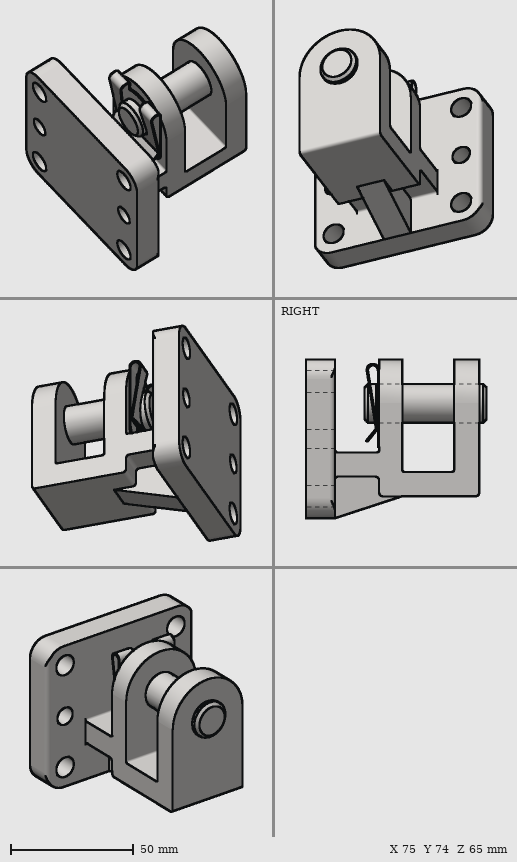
import cadquery as cq
import math

PLATE_WIDTH = 75.0
PLATE_HEIGHT = 65.0
PLATE_THICKNESS = 12.0
PLATE_CORNER_R = 8.0
PLATE_SIDE_FILLET_R = 2.0
HOLE_SPACING_X = 57.0
HOLE_SPACING_Z = 47.0
CORNER_HOLE_DIA = 9.0
SIDE_HOLE_DIA = 7.8

FORK_WIDTH = 36.0
LUG_R = FORK_WIDTH / 2
FRONT_LUG_Y = 30.0
FRONT_LUG_THICKNESS = 9.5
SLOT_WIDTH = 21.15
BACK_LUG_THICKNESS = 10.35
SLOT_FLOOR_Z = 19.0
FORK_BOTTOM_Z = 9.0
WEB_TOP_Z = 27.0
WEB_BOTTOM_Z = 17.0
INNER_FILLET_R = 1.0
OUTER_FILLET_R = 1.5
GUSSET_WIDTH = 12.0
GUSSET_TIP_Y = 39.5

SLOT_FRONT_Y = FRONT_LUG_Y + FRONT_LUG_THICKNESS
SLOT_BACK_Y = SLOT_FRONT_Y + SLOT_WIDTH
FORK_BACK_Y = SLOT_BACK_Y + BACK_LUG_THICKNESS

PIN_DIA = 16.0
PIN_LENGTH = 50.0
PIN_BACK_Y = 74.0
PIN_FRONT_Y = PIN_BACK_Y - PIN_LENGTH
PIN_AXIS_Z = PLATE_HEIGHT - LUG_R
PIN_CHAMFER = 1.5
GROOVE_DIA = 12.0
GROOVE_WIDTH = 1.2

CLIP_WIDTH = 28.3
CLIP_THICKNESS = 0.56
CLIP_BOTTOM_Z = 29.1
CLIP_TOP_Z = 63.2
CLIP_CORNER_R = 5.0
FOLD_R = 2.55
LEAF_ANGLE = 9.0
KINK_Z = 36.6
LIP_ANGLE = 39.0
LIP_LENGTH = 6.3
LIP_CORNER_R = 4.5
EYE_R = 8.3
EYE_TAPER = 8.0
NOTCH_FLOOR_R = 12.2
NOTCH_FILLET_R = 0.75


def along_y(x, z, radius, start, end):
    """Cylinder about a line parallel to Y."""
    return cq.Workplane(cq.Solid.makeCylinder(
        radius, end - start, cq.Vector(x, start, z), cq.Vector(0, 1, 0)))


def side_prism(points, width):
    """Prism of a closed Y-Z outline, centred on X = 0."""
    return cq.Workplane("YZ").polyline(points).close().extrude(width / 2, both=True)


def make_plate():
    plate = (
        cq.Workplane("XY")
        .box(PLATE_WIDTH, PLATE_THICKNESS, PLATE_HEIGHT, centered=(True, False, False))
        .faces(">Y").edges("|Z").fillet(PLATE_SIDE_FILLET_R)
    )
    rounded_outline = (
        cq.Workplane("XY")
        .box(PLATE_WIDTH, PLATE_THICKNESS, PLATE_HEIGHT, centered=(True, False, False))
        .edges("|Y").fillet(PLATE_CORNER_R)
    )
    return plate.intersect(rounded_outline)


def drill_plate(body):
    mid_z = PLATE_HEIGHT / 2
    for row, diameter in ((-1, CORNER_HOLE_DIA), (0, SIDE_HOLE_DIA), (1, CORNER_HOLE_DIA)):
        for side in (-1, 1):
            x = side * HOLE_SPACING_X / 2
            z = mid_z + row * HOLE_SPACING_Z / 2
            body = body.cut(along_y(x, z, diameter / 2, 0, PLATE_THICKNESS))
    return body


def make_fork():
    inner_corners = [
        (PLATE_THICKNESS, WEB_TOP_Z),
        (FRONT_LUG_Y, WEB_TOP_Z),
        (SLOT_FRONT_Y, SLOT_FLOOR_Z),
        (SLOT_BACK_Y, SLOT_FLOOR_Z),
        (PLATE_THICKNESS, WEB_BOTTOM_Z),
    ]
    outer_corners = [
        (FORK_BACK_Y, FORK_BOTTOM_Z),
        (FRONT_LUG_Y, FORK_BOTTOM_Z),
        (FRONT_LUG_Y, WEB_BOTTOM_Z),
    ]
    root_top_z = WEB_TOP_Z + LUG_R / 2
    outline = [
        (0, root_top_z),
        (PLATE_THICKNESS, root_top_z),
        (PLATE_THICKNESS, WEB_TOP_Z),
        (FRONT_LUG_Y, WEB_TOP_Z),
        (FRONT_LUG_Y, PLATE_HEIGHT),
        (SLOT_FRONT_Y, PLATE_HEIGHT),
        (SLOT_FRONT_Y, SLOT_FLOOR_Z),
        (SLOT_BACK_Y, SLOT_FLOOR_Z),
        (SLOT_BACK_Y, PLATE_HEIGHT),
        (FORK_BACK_Y, PLATE_HEIGHT),
        (FORK_BACK_Y, FORK_BOTTOM_Z),
        (FRONT_LUG_Y, FORK_BOTTOM_Z),
        (FRONT_LUG_Y, WEB_BOTTOM_Z),
        (PLATE_THICKNESS, WEB_BOTTOM_Z),
        (PLATE_THICKNESS, FORK_BOTTOM_Z),
        (0, FORK_BOTTOM_Z),
    ]
    fork = side_prism(outline, FORK_WIDTH)
    for corners, radius in ((inner_corners, INNER_FILLET_R), (outer_corners, OUTER_FILLET_R)):
        for y, z in corners:
            fork = fork.edges(cq.selectors.NearestToPointSelector((0, y, z))).fillet(radius)
    round_top = along_y(0, PIN_AXIS_Z, LUG_R, 0, FORK_BACK_Y)
    below_axis = cq.Workplane("XY").box(
        FORK_WIDTH, FORK_BACK_Y, PIN_AXIS_Z, centered=(True, False, False))
    return fork.intersect(round_top.union(below_axis))


def make_gusset():
    outline = [
        (0, 0),
        (PLATE_THICKNESS, 0),
        (GUSSET_TIP_Y, FORK_BOTTOM_Z),
        (GUSSET_TIP_Y, SLOT_FLOOR_Z),
        (0, SLOT_FLOOR_Z),
    ]
    return side_prism(outline, GUSSET_WIDTH)


def make_bracket():
    bracket = make_plate().union(make_fork()).union(make_gusset())
    bracket = drill_plate(bracket)
    return bracket.cut(along_y(0, PIN_AXIS_Z, PIN_DIA / 2, FRONT_LUG_Y, FORK_BACK_Y))


def make_pin():
    pin = along_y(0, PIN_AXIS_Z, PIN_DIA / 2, PIN_FRONT_Y, PIN_BACK_Y)
    pin = pin.edges().chamfer(PIN_CHAMFER)
    groove_front_y = FRONT_LUG_Y - GROOVE_WIDTH
    groove = along_y(0, PIN_AXIS_Z, PIN_DIA / 2, groove_front_y, FRONT_LUG_Y).cut(
        along_y(0, PIN_AXIS_Z, GROOVE_DIA / 2, groove_front_y, FRONT_LUG_Y))
    return pin.cut(groove)


def make_folded_strip():
    """Full-width strip bent from the back leaf over the fold to the front leaf and lip."""
    leaf = math.radians(LEAF_ANGLE)
    lip = math.radians(LIP_ANGLE)
    fold_y = FRONT_LUG_Y - FOLD_R
    fold_z = CLIP_TOP_Z - FOLD_R
    inner_r = FOLD_R - CLIP_THICKNESS

    def on_fold(radius, angle):
        return (fold_y - radius * math.cos(angle), fold_z + radius * math.sin(angle))

    leaf_outer = on_fold(FOLD_R, -leaf)
    kink_outer = (leaf_outer[0] + (leaf_outer[1] - KINK_Z) * math.tan(leaf), KINK_Z)
    half_turn = (leaf + lip) / 2
    mitre = CLIP_THICKNESS / math.cos(half_turn)
    mitre_angle = half_turn - leaf
    kink_inner = (kink_outer[0] + mitre * math.cos(mitre_angle),
                  kink_outer[1] - mitre * math.sin(mitre_angle))
    tip_outer = (kink_outer[0] - LIP_LENGTH * math.sin(lip),
                 kink_outer[1] - LIP_LENGTH * math.cos(lip))
    tip_inner = (tip_outer[0] + CLIP_THICKNESS * math.cos(lip),
                 tip_outer[1] - CLIP_THICKNESS * math.sin(lip))
    return (
        cq.Workplane("YZ")
        .moveTo(FRONT_LUG_Y, CLIP_BOTTOM_Z)
        .lineTo(FRONT_LUG_Y, fold_z)
        .threePointArc(on_fold(FOLD_R, math.pi / 2), leaf_outer)
        .lineTo(*kink_outer)
        .lineTo(*tip_outer)
        .lineTo(*tip_inner)
        .lineTo(*kink_inner)
        .lineTo(*on_fold(inner_r, -leaf))
        .threePointArc(on_fold(inner_r, math.pi / 2), (FRONT_LUG_Y - CLIP_THICKNESS, fold_z))
        .lineTo(FRONT_LUG_Y - CLIP_THICKNESS, CLIP_BOTTOM_Z)
        .close()
        .extrude(CLIP_WIDTH / 2, both=True)
    )


def round_leaf_ends(strip):
    """Round the lower corners of the back leaf and of the lip."""
    lip = math.radians(LIP_ANGLE)
    lip_normal = cq.Vector(0, -math.cos(lip), math.sin(lip))
    strip = strip.faces("<Z").edges("|Y").fillet(CLIP_CORNER_R)
    return strip.edges(cq.selectors.ParallelDirSelector(lip_normal)).edges("<Z").fillet(LIP_CORNER_R)


def make_eye_cutter():
    """Round eye about the pin axis, opening upward between two converging tangents."""
    taper = math.radians(EYE_TAPER)
    tangent_x = EYE_R * math.cos(taper)
    tangent_z = PIN_AXIS_Z + EYE_R * math.sin(taper)
    top_x = tangent_x - (CLIP_TOP_Z - tangent_z) * math.tan(taper)
    return (
        cq.Workplane("XZ")
        .moveTo(-top_x, CLIP_TOP_Z)
        .lineTo(-tangent_x, tangent_z)
        .threePointArc((0, PIN_AXIS_Z - EYE_R), (tangent_x, tangent_z))
        .lineTo(top_x, CLIP_TOP_Z)
        .close()
        .extrude(-FRONT_LUG_Y)
    )


def make_clip():
    clip = round_leaf_ends(make_folded_strip())
    eye = make_eye_cutter()
    back_leaf_y = FRONT_LUG_Y - CLIP_THICKNESS
    front_space = cq.Workplane("XY").box(
        CLIP_WIDTH, back_leaf_y, PLATE_HEIGHT, centered=(True, False, False))
    clip = clip.cut(eye.intersect(front_space))

    arch = along_y(0, PIN_AXIS_Z, NOTCH_FLOOR_R, 0, FRONT_LUG_Y)
    notch = eye.cut(arch).edges("|Y and (not >Z)").fillet(NOTCH_FILLET_R)
    clip = clip.cut(notch)
    clip = clip.cut(along_y(0, PIN_AXIS_Z, GROOVE_DIA / 2, back_leaf_y, FRONT_LUG_Y))
    slot = cq.Workplane("XY").box(
        GROOVE_DIA, CLIP_THICKNESS, PIN_AXIS_Z, centered=(True, False, False))
    return clip.cut(slot.translate((0, back_leaf_y, 0)))


bracket = make_bracket()
pin = make_pin()
clip = make_clip()

result = cq.Compound.makeCompound([
    bracket.solids().val(),
    pin.solids().val(),
    clip.solids().val(),
])